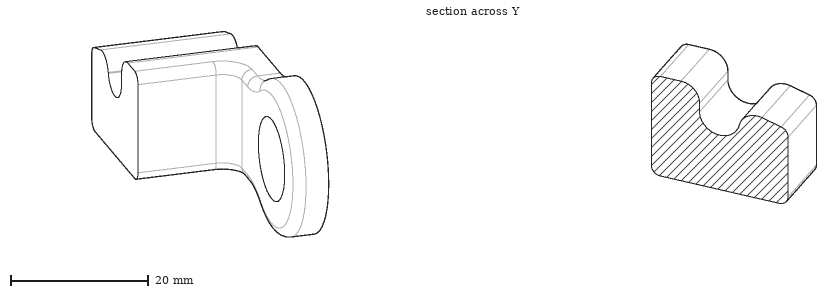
import cadquery as cq
import math

total_length = 50.65
block_length = 22.0
block_depth = 20.0
block_height = 16.95
mid_height = block_height / 2

plate_thickness = 5.0
ring_radius = 11.68
hole_radius = 6.26
neck_blend_radius = 10.0
ring_x = total_length - ring_radius

channel_radius = 3.2
channel_x = 11.0
channel_z = 12.5
lip_slope = math.radians(15)
lip_left_height = 12.8

edge_radius = 1.5
inner_corner_radius = 3.0
channel_mouth_radius = 3.0


def extrude_back_to_front(sketch, depth):
    """Extrude an XZ outline from the back face toward -Y."""
    return sketch.close().extrude(depth)


def round_y_edge(body, x, z, radius):
    """Round the edge parallel to Y that is nearest to the given XZ place."""
    edge = cq.selectors.NearestToPointSelector((x, -block_depth / 2, z))
    return body.edges("|Y").edges(edge).fillet(radius)


def make_block():
    channel_right = channel_x + channel_radius
    wall_x = channel_x - channel_radius * math.cos(lip_slope)
    wall_z = channel_z - channel_radius * math.sin(lip_slope)
    slope_z_at_wall = lip_left_height + wall_x * math.tan(lip_slope)
    wall_length = (slope_z_at_wall - wall_z) * math.cos(lip_slope)
    lip_x = wall_x - wall_length * math.sin(lip_slope)
    lip_z = wall_z + wall_length * math.cos(lip_slope)

    outline = (
        cq.Workplane("XZ")
        .moveTo(0, 0)
        .lineTo(block_length, 0)
        .lineTo(block_length, block_height)
        .lineTo(channel_right, block_height)
        .lineTo(channel_right, channel_z)
        .threePointArc((channel_x, channel_z - channel_radius), (wall_x, wall_z))
        .lineTo(lip_x, lip_z)
        .lineTo(0, lip_left_height)
    )
    body = extrude_back_to_front(outline, block_depth)
    body = round_y_edge(body, 0, 0, edge_radius)
    body = round_y_edge(body, 0, lip_left_height, edge_radius)
    body = round_y_edge(body, lip_x, lip_z, channel_mouth_radius)
    return round_y_edge(body, channel_right, block_height, channel_mouth_radius)


def make_plate():
    blend_rise = mid_height + neck_blend_radius
    centre_distance = ring_radius + neck_blend_radius
    blend_run = math.sqrt(centre_distance**2 - blend_rise**2)
    blend_x = ring_x - blend_run
    ring_share = ring_radius / centre_distance
    join_x = ring_x - blend_run * ring_share
    join_rise = blend_rise * ring_share

    half_turn = math.atan2(blend_run, blend_rise) / 2
    blend_mid_x = blend_x + neck_blend_radius * math.sin(half_turn)
    blend_mid_rise = blend_rise - neck_blend_radius * math.cos(half_turn)

    neck_start = block_length - inner_corner_radius
    outline = (
        cq.Workplane("XZ")
        .moveTo(neck_start, 0)
        .lineTo(blend_x, 0)
        .threePointArc((blend_mid_x, mid_height - blend_mid_rise), (join_x, mid_height - join_rise))
        .threePointArc((total_length, mid_height), (join_x, mid_height + join_rise))
        .threePointArc((blend_mid_x, mid_height + blend_mid_rise), (blend_x, block_height))
        .lineTo(neck_start, block_height)
    )
    return extrude_back_to_front(outline, plate_thickness)


def round_inner_corner(body):
    corner = cq.selectors.NearestToPointSelector((block_length, -plate_thickness, mid_height))
    return body.edges("|Z").edges(corner).fillet(inner_corner_radius)


def round_rim(body):
    """Round the tangent chain along the block's right edges and around the plate front."""
    rim_start = cq.selectors.NearestToPointSelector((total_length, -plate_thickness, mid_height))
    return body.edges(rim_start).fillet(edge_radius)


def cut_hole(body):
    hole = cq.Workplane("XZ").center(ring_x, mid_height).circle(hole_radius).extrude(plate_thickness)
    return body.cut(hole)


joined = make_block().union(make_plate()).clean()
result = cut_hole(round_rim(round_inner_corner(joined)))